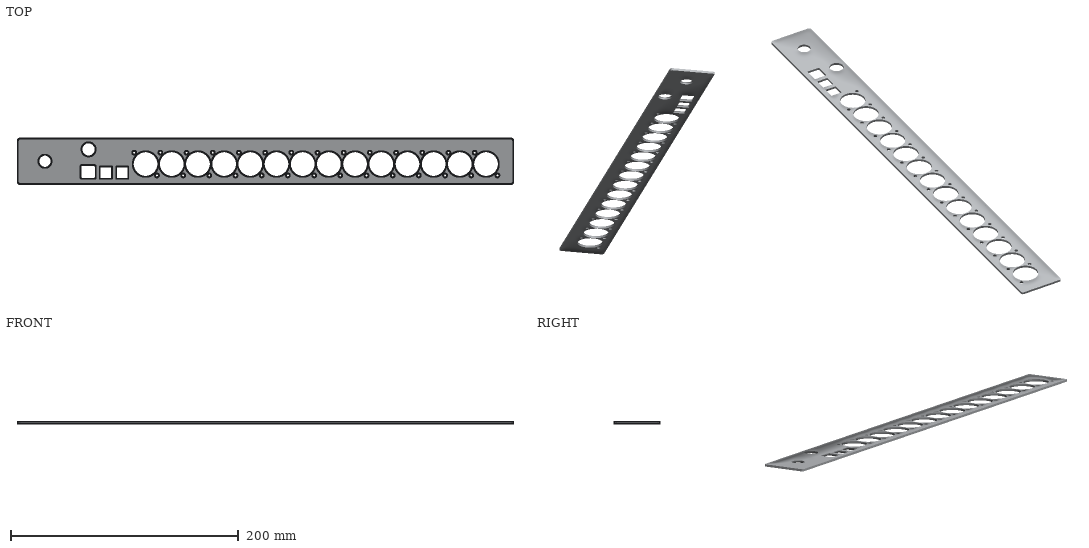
import cadquery as cq

length = 435.0
width = 40.0
thickness = 2.0
corner_radius = 2.0

connector_count = 14
connector_diameter = 22.0
first_connector_x = 112.2
connector_row_span = 299.0
connector_pitch = connector_row_span / (connector_count - 1)
connector_y = -2.45
screw_diameter = 3.2
screw_offset = 10.0

round_diameter = 11.5
end_hole_x = 24.0
upper_hole_diameter = 12.0
upper_hole_x = 62.0
upper_hole_y = 10.5

window_bottom_y = -15.2
large_window_width = 13.0
large_window_height = 11.7
large_window_x = 61.8
large_window_corner_radius = 1.0
small_window_size = 10.5
small_window_positions = (77.5, 92.0)


def round_cutter(x, y, diameter):
    return cq.Workplane("XY").center(x, y).circle(diameter / 2).extrude(thickness)


def window_cutter(center_x, window_width, window_height):
    center_y = window_bottom_y + window_height / 2
    return (
        cq.Workplane("XY")
        .center(center_x, center_y)
        .rect(window_width, window_height)
        .extrude(thickness)
    )


def connector_cutters(x):
    return [
        round_cutter(x, connector_y, connector_diameter),
        round_cutter(x - screw_offset, connector_y + screw_offset, screw_diameter),
        round_cutter(x + screw_offset, connector_y - screw_offset, screw_diameter),
    ]


plate = (
    cq.Workplane("XY")
    .box(length, width, thickness, centered=(False, True, False))
    .edges("|Z")
    .fillet(corner_radius)
)

large_window = window_cutter(large_window_x, large_window_width, large_window_height)

cutters = [
    round_cutter(end_hole_x, 0, round_diameter),
    round_cutter(upper_hole_x, upper_hole_y, upper_hole_diameter),
    large_window.edges("|Z").fillet(large_window_corner_radius),
]
for window_x in small_window_positions:
    cutters.append(window_cutter(window_x, small_window_size, small_window_size))
for index in range(connector_count):
    cutters.extend(connector_cutters(first_connector_x + index * connector_pitch))

result = plate
for cutter in cutters:
    result = result.cut(cutter)